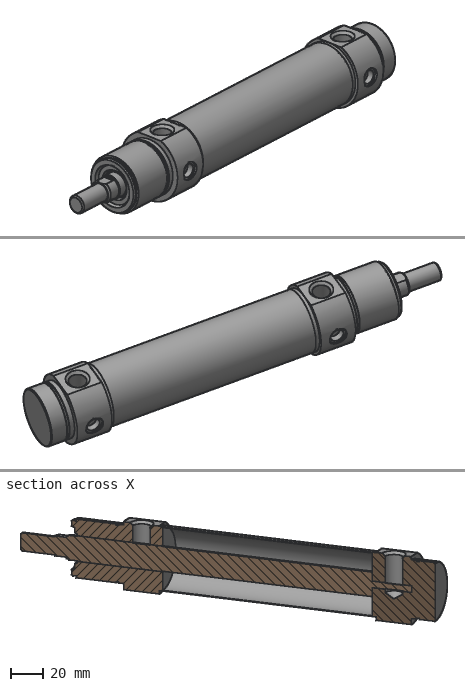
import cadquery as cq
LENGTH = 278.0
HEIGHT = 44.0

BLOCK_DIA = 46.0
BLOCK_LENGTH = 24.0
FLAT_Z = HEIGHT - BLOCK_DIA / 2
COLLAR_LENGTH = 2.5

NOSE_DIA = 38.0
NOSE_GROOVE_DIA = 36.7
NOSE_GROOVE_WIDTH = 1.7
GROOVE_TO_BLOCK = 3.3
REAR_NOSE_LENGTH = 16.0
REAR_CHAMFER = 0.5
FRONT_FACE_Y = 34.0
FRONT_NOSE_LENGTH = 35.0
LIP_DIA = 37.0
LIP_CHAMFER = 1.0
NECK_DIA = 35.3
NECK_LENGTH = 3.0

RECESS_MOUTH_DIA = 28.0
RECESS_FLOOR_DIA = 26.0
RECESS_DEPTH = 2.2
SEAT_MOUTH_DIA = 20.0
SEAT_DIA = 18.0
SEAT_DEPTH = 1.7

PORT_DIA = 11.5
PORT_MOUTH_DIA = 15.0
PORT_FLOOR_Z = -4.2
DRILL_POINT_DEPTH = 3.3

SIDE_HOLE_DIA = 9.0
SIDE_HOLE_DEPTH = 6.0
SIDE_COUNTERBORE_DIA = 12.0
SIDE_COUNTERBORE_DEPTH = 1.7

TUBE_DIA = 41.7
TUBE_BORE_DIA = 40.0

ROD_DIA = 16.0
THREAD_DIA = 12.0
THREAD_LENGTH = 22.8
THREAD_CHAMFER = 0.97
TAPER_LENGTH = 1.5
WRENCH_DIA = 15.0
ACROSS_FLATS = 13.0
FLATS_LENGTH = 7.8
SHOULDER_Y = 31.7
SHOULDER_CHAMFER = (ROD_DIA - WRENCH_DIA) / 2
TAIL_DIA = 4.0

WRENCH_START = THREAD_LENGTH + TAPER_LENGTH
NECK_END = FRONT_FACE_Y + NECK_LENGTH
FRONT_BLOCK_START = FRONT_FACE_Y + FRONT_NOSE_LENGTH
FRONT_BLOCK_END = FRONT_BLOCK_START + BLOCK_LENGTH
TUBE_START = FRONT_BLOCK_END + COLLAR_LENGTH
REAR_BLOCK_END = LENGTH - REAR_NOSE_LENGTH
REAR_BLOCK_START = REAR_BLOCK_END - BLOCK_LENGTH
TUBE_END = REAR_BLOCK_START - COLLAR_LENGTH
FRONT_PORT_Y = FRONT_BLOCK_START + BLOCK_LENGTH / 2
REAR_PORT_Y = REAR_BLOCK_START + BLOCK_LENGTH / 2


def cone(start_dia, end_dia, start, end):
    """A cone on the Y axis between two places along Y."""
    profile = [(0, start), (start_dia / 2, start), (end_dia / 2, end), (0, end)]
    return cq.Workplane("XY").polyline(profile).close().revolve(360, (0, 0), (0, 1))


def cylinder(dia, start, end):
    """A cylinder on the Y axis between two places along Y."""
    return cone(dia, dia, start, end)


def nose_groove(start):
    """The ring that a groove takes out of a nose."""
    end = start + NOSE_GROOVE_WIDTH
    return cylinder(NOSE_DIA, start, end).cut(cylinder(NOSE_GROOVE_DIA, start, end))


def port(port_y):
    """A vertical port with a countersunk mouth and a drill point below the rod axis."""
    radius = PORT_DIA / 2
    mouth_radius = PORT_MOUTH_DIA / 2
    mouth_z = FLAT_Z - (mouth_radius - radius)
    profile = [
        (0, PORT_FLOOR_Z - DRILL_POINT_DEPTH),
        (radius, PORT_FLOOR_Z),
        (radius, mouth_z),
        (mouth_radius, FLAT_Z),
        (0, FLAT_Z),
    ]
    outline = cq.Workplane("XZ", origin=(0, port_y, 0)).polyline(profile).close()
    return outline.revolve(360, (0, 0), (0, 1))


def side_hole(side, hole_y):
    """A counterbored blind hole going into the block from the left (side = -1) or right (side = 1)."""
    start = cq.Workplane("YZ", origin=(side * BLOCK_DIA / 2, hole_y, 0))
    hole = start.circle(SIDE_HOLE_DIA / 2).extrude(-side * SIDE_HOLE_DEPTH)
    counterbore = start.circle(SIDE_COUNTERBORE_DIA / 2).extrude(-side * SIDE_COUNTERBORE_DEPTH)
    return hole.union(counterbore)


def make_block(start):
    """The part of a head that carries the flat and the two side holes."""
    middle = start + BLOCK_LENGTH / 2
    block = cylinder(BLOCK_DIA, start, start + BLOCK_LENGTH)
    above_flat = cq.Workplane("XY", origin=(0, middle, FLAT_Z)).rect(BLOCK_DIA, BLOCK_LENGTH)
    block = block.cut(above_flat.extrude(BLOCK_DIA))
    for side in (-1, 1):
        block = block.cut(side_hole(side, middle))
    return block


def make_front_head():
    neck = cone(LIP_DIA, NECK_DIA, FRONT_FACE_Y, NECK_END).faces("<Y").chamfer(LIP_CHAMFER)
    head = make_block(FRONT_BLOCK_START)
    head = head.union(cylinder(NOSE_DIA, NECK_END, FRONT_BLOCK_START))
    head = head.union(neck)
    head = head.union(cylinder(TUBE_DIA, FRONT_BLOCK_END, TUBE_START))
    head = head.cut(nose_groove(FRONT_BLOCK_START - GROOVE_TO_BLOCK - NOSE_GROOVE_WIDTH))

    recess_floor = FRONT_FACE_Y + RECESS_DEPTH
    seat_floor = recess_floor + SEAT_DEPTH
    head = head.cut(cone(RECESS_MOUTH_DIA, RECESS_FLOOR_DIA, FRONT_FACE_Y, recess_floor))
    head = head.cut(cone(SEAT_MOUTH_DIA, SEAT_DIA, recess_floor, seat_floor))
    head = head.cut(cylinder(ROD_DIA, seat_floor, TUBE_START))
    return head.cut(port(FRONT_PORT_Y))


def make_rear_head():
    nose = cylinder(NOSE_DIA, REAR_BLOCK_END, LENGTH).faces(">Y").chamfer(REAR_CHAMFER)
    head = make_block(REAR_BLOCK_START)
    head = head.union(nose)
    head = head.union(cylinder(TUBE_DIA, TUBE_END, REAR_BLOCK_START))
    head = head.cut(nose_groove(REAR_BLOCK_END + GROOVE_TO_BLOCK))
    head = head.cut(port(REAR_PORT_Y))
    return head.cut(cylinder(TAIL_DIA, TUBE_END, REAR_BLOCK_END))


def make_tube():
    bore = cylinder(TUBE_BORE_DIA, TUBE_START, TUBE_END)
    return cylinder(TUBE_DIA, TUBE_START, TUBE_END).cut(bore)


def make_rod():
    wrench_part = cylinder(WRENCH_DIA, WRENCH_START, SHOULDER_Y)
    wrench_part = wrench_part.union(cone(ACROSS_FLATS, WRENCH_DIA, THREAD_LENGTH, WRENCH_START))
    flats_middle = THREAD_LENGTH + FLATS_LENGTH / 2
    for side in (-1, 1):
        outside_flat = cq.Workplane("XY", origin=(0, flats_middle, side * ACROSS_FLATS / 2))
        outside_flat = outside_flat.rect(WRENCH_DIA, FLATS_LENGTH).extrude(side * WRENCH_DIA)
        wrench_part = wrench_part.cut(outside_flat)

    rod = cylinder(ROD_DIA, SHOULDER_Y, TUBE_END).faces("<Y").chamfer(SHOULDER_CHAMFER)
    rod = rod.union(wrench_part)
    rod = rod.union(cylinder(THREAD_DIA, 0, THREAD_LENGTH).faces("<Y").chamfer(THREAD_CHAMFER))
    return rod.union(cylinder(TAIL_DIA, TUBE_END, REAR_BLOCK_END))


front_head = make_front_head()
rear_head = make_rear_head()
tube = make_tube()
piston_rod = make_rod()

result = cq.Compound.makeCompound(
    [front_head.val(), rear_head.val(), tube.val(), piston_rod.val()]
)